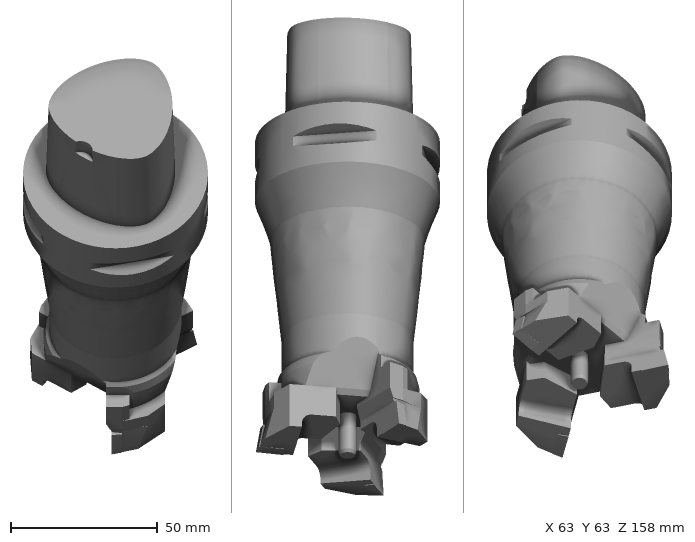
import cadquery as cq
import math


SHANK_HEIGHT = 38.0
SHANK_BASE_RADIUS = 22.0
SHANK_TOP_RADIUS = 21.1
LOBE_RISE = 1.7
LOBES = 3
LOBE_HALF_ANGLE = math.radians(38.5)
CURVE_STEPS = 6
LOBE_ANGLE = math.pi / 2
NOTCH_RADIUS = 4.2
NOTCH_DEPTH = 6.3
NOTCH_CENTRE_Y = -21.7

FLANGE_RADIUS = 63.0 / 2
FLANGE_BOTTOM = -22.8
SHOULDER_RADIUS = 26.45
SHOULDER_BOTTOM = -37.4
SHOULDER_SAG = 0.25
NECK_RADIUS = 45.0 / 2
NECK_TOP = -76.0
NECK_BULGE = 0.15
NECK_BOTTOM = -90.0
COLLAR_TOP_RADIUS = 23.8
COLLAR_TOP = -91.2
COLLAR_RADIUS = 24.6
COLLAR_WIDEST = -94.5
CORE_RADIUS = 24.2
CORE_BOTTOM = -104.0

SLOT_Z = -12.0
SLOT_FLOOR_DISTANCE = 28.0
SLOT_FLOOR_WIDTH = 3.6
SLOT_SIDE_ANGLE = 30.0
SLOT_LENGTH = 40.0
SLOT_ANGLES = (45, 135, 225, 315)

TOOTH_ANGLES = (63.5, 180, 303)
LEADING_Y = -3.1
FACE_Y = -1.2
INSERT_BACK_Y = 2.4
TRAILING_Y = 17.0
TRAILING_CORNER = (22.9, TRAILING_Y)
ROOT_TRAILING = (6.9, TRAILING_Y)
ROOT_MIDDLE = (4.5, 11.2)
ROOT_LEADING_X = 9.75
TOOTH_FACE_X = 28.8
TOOTH_SIDE_X = 27.2
TOOTH_LEDGE = -108.9
SEAT_TOP_X = 28.4
SEAT_TOP_SIDE_X = 27.4
SEAT_BOTTOM_X = 30.8
SEAT_BOTTOM_SIDE_X = 29.9
TRAILING_BEVEL_SLOPE = 1.34
TOOTH_BOTTOM_LEADING = -119.7
TOOTH_BOTTOM_TRAILING = -117.9
TOOTH_TOP_TRAILING = -102.0
TOOTH_TOP_BLOCK = -103.9
STEP_TOP = -105.5
STEP_BOTTOM = -110.1
CAVITY_X = 18.6
CAVITY_ROOF = -113.0
CAVITY_RADIUS = 3.4

FLAT_X = 23.7
FLAT_HALF_WIDTH = 8.0
BLOCK_ROOT_X = FLAT_X - 1.0
BLOCK_TOP = -95.8
BLOCK_END = (27.9, 5.0)

FLUTE_SLOPE = 0.32
FLUTE_BEVEL = 1.2

INSERT_CORNERS = ((20.2, -110.4), (29.9, -110.4), (31.45, -119.7), (22.0, -120.0))
INSERT_RELIEF = 7.0
SCREW_X = 25.8
SCREW_Z = -115.3
SCREW_HEAD_RADIUS = 6.01 / 2
SCREW_SHANK_RADIUS = 4.4 / 2
SCREW_HEAD_HEIGHT = 1.2
SCREW_LENGTH = 8.0

PIN_RADIUS = 6.01 / 2
PIN_BOTTOM = -118.9
PIN_CHAMFER_HEIGHT = 1.2
PIN_CHAMFER_WIDTH = 0.5

FAR = 60.0


def around(shape, angle):
    """Turn a shape about the tool axis."""
    return shape.rotate((0, 0, 0), (0, 0, 1), angle)


def polygon_point(mean_radius, angle):
    """Point on the three-lobed curve of constant width where its outward normal has the given angle."""
    phase = LOBES * (angle - LOBE_ANGLE)
    support = mean_radius + LOBE_RISE * math.cos(phase)
    slope = -LOBES * LOBE_RISE * math.sin(phase)
    return cq.Vector(
        support * math.cos(angle) - slope * math.sin(angle),
        support * math.sin(angle) + slope * math.cos(angle),
    )


def polygon_edge(mean_radius, start, end):
    """Smooth stretch of the lobed curve between two normal angles."""
    step = (end - start) / CURVE_STEPS
    angles = [start + step * index for index in range(CURVE_STEPS + 1)]
    points = [polygon_point(mean_radius, angle) for angle in angles]
    tangents = [cq.Vector(-math.sin(angle), math.cos(angle)) for angle in (start, end)]
    return cq.Edge.makeSpline(points, tangents=tangents)


def polygon_wire(mean_radius, height):
    """Closed lobed outline: a lobe stretch and a flank stretch in turn."""
    pitch = 2 * math.pi / LOBES
    edges = []
    for lobe in range(LOBES):
        centre = LOBE_ANGLE + lobe * pitch
        lobe_start = centre - LOBE_HALF_ANGLE
        lobe_end = centre + LOBE_HALF_ANGLE
        edges.append(polygon_edge(mean_radius, lobe_start, lobe_end))
        edges.append(polygon_edge(mean_radius, lobe_end, lobe_start + pitch))
    return cq.Wire.assembleEdges(edges).translate(cq.Vector(0, 0, height))


def make_shank():
    base = polygon_wire(SHANK_BASE_RADIUS, 0)
    top = polygon_wire(SHANK_TOP_RADIUS, SHANK_HEIGHT)
    shank = cq.Workplane(cq.Solid.makeLoft([base, top], True))
    notch = (
        cq.Workplane("XY", origin=(0, NOTCH_CENTRE_Y, SHANK_HEIGHT - NOTCH_DEPTH))
        .circle(NOTCH_RADIUS)
        .extrude(NOTCH_DEPTH)
    )
    return shank.cut(notch)


def make_turned_body():
    shoulder_middle = (
        (FLANGE_RADIUS + SHOULDER_RADIUS) / 2 - SHOULDER_SAG,
        (FLANGE_BOTTOM + SHOULDER_BOTTOM) / 2,
    )
    neck_middle = (
        (SHOULDER_RADIUS + NECK_RADIUS) / 2 + NECK_BULGE,
        (SHOULDER_BOTTOM + NECK_TOP) / 2,
    )
    return (
        cq.Workplane("XZ")
        .moveTo(0, 0)
        .lineTo(FLANGE_RADIUS, 0)
        .lineTo(FLANGE_RADIUS, FLANGE_BOTTOM)
        .threePointArc(shoulder_middle, (SHOULDER_RADIUS, SHOULDER_BOTTOM))
        .threePointArc(neck_middle, (NECK_RADIUS, NECK_TOP))
        .lineTo(NECK_RADIUS, NECK_BOTTOM)
        .lineTo(COLLAR_TOP_RADIUS, COLLAR_TOP)
        .lineTo(COLLAR_RADIUS, COLLAR_WIDEST)
        .lineTo(CORE_RADIUS, CORE_BOTTOM)
        .lineTo(0, CORE_BOTTOM)
        .close()
        .revolve(360, (0, 0, 0), (0, 1, 0))
    )


def make_gripper_slot():
    """Flat-bottomed slot with flared sides, cut into the +X side of the flange."""
    depth = FLANGE_RADIUS - SLOT_FLOOR_DISTANCE
    half_floor = SLOT_FLOOR_WIDTH / 2
    half_mouth = half_floor + depth * math.tan(math.radians(SLOT_SIDE_ANGLE))
    return (
        cq.Workplane("XZ", origin=(0, SLOT_LENGTH / 2, SLOT_Z))
        .polyline([
            (SLOT_FLOOR_DISTANCE, -half_floor),
            (FLANGE_RADIUS, -half_mouth),
            (FLANGE_RADIUS, half_mouth),
            (SLOT_FLOOR_DISTANCE, half_floor),
        ])
        .close()
        .extrude(SLOT_LENGTH)
    )


def make_flute(angle, next_angle):
    """Chip space between the trailing side of one tooth and the leading wall of the next.

    The bevel runs on to twice its depth, so that it cuts clear through the core underside.
    """
    rise = NECK_TOP - TOOTH_TOP_TRAILING
    drop = TOOTH_TOP_TRAILING - CORE_BOTTOM
    beyond = (
        cq.Workplane("YZ", origin=(-FAR, 0, 0))
        .polyline([
            (TRAILING_Y, TOOTH_TOP_TRAILING),
            (TRAILING_Y + FLUTE_SLOPE * rise, NECK_TOP),
            (FAR, NECK_TOP),
            (FAR, CORE_BOTTOM - drop),
            (TRAILING_Y - 2 * FLUTE_BEVEL, CORE_BOTTOM - drop),
        ])
        .close()
        .extrude(2 * FAR)
    )
    ahead = cq.Workplane("XY").box(
        2 * FAR, FAR + LEADING_Y, 2 * FAR, centered=(True, False, False)
    ).translate((0, -FAR, NECK_TOP - 2 * FAR))
    return around(beyond, angle).intersect(around(ahead, next_angle))


def make_collar_flat():
    """Flat on the collar above the tooth, from the leading wall to past the block."""
    height = COLLAR_TOP - CORE_BOTTOM
    return (
        cq.Workplane("XY")
        .box(FAR, 2 * FLAT_HALF_WIDTH, height, centered=(False, True, False))
        .translate((FLAT_X, 0, CORE_BOTTOM))
    )


def make_block():
    """Block that stands above the leading side of the tooth, against the collar flat."""
    return (
        cq.Workplane("XY", origin=(0, 0, TOOTH_TOP_BLOCK))
        .polyline([
            (BLOCK_ROOT_X, LEADING_Y),
            (TOOTH_FACE_X, LEADING_Y),
            (TOOTH_FACE_X, INSERT_BACK_Y),
            BLOCK_END,
            (BLOCK_ROOT_X, BLOCK_END[1]),
        ])
        .close()
        .extrude(BLOCK_TOP - TOOTH_TOP_BLOCK)
    )


def tooth_outline(face_x, side_x):
    """Plan outline of a tooth for a given outer face and bevel edge."""
    corner_x, corner_y = TRAILING_CORNER
    side_y = corner_y - TRAILING_BEVEL_SLOPE * (side_x - corner_x)
    return [
        (ROOT_LEADING_X, LEADING_Y),
        (face_x, LEADING_Y),
        (face_x, INSERT_BACK_Y),
        (side_x, side_y),
        TRAILING_CORNER,
        ROOT_TRAILING,
        ROOT_MIDDLE,
    ]


def make_tooth():
    upper = (
        cq.Workplane("XY", origin=(0, 0, TOOTH_LEDGE))
        .polyline(tooth_outline(TOOTH_FACE_X, TOOTH_SIDE_X))
        .close()
        .extrude(TOOTH_TOP_TRAILING - TOOTH_LEDGE)
    )
    lower = (
        cq.Workplane("XY", origin=(0, 0, TOOTH_LEDGE))
        .polyline(tooth_outline(SEAT_TOP_X, SEAT_TOP_SIDE_X))
        .close()
        .workplane(offset=TOOTH_BOTTOM_LEADING - TOOTH_LEDGE)
        .polyline(tooth_outline(SEAT_BOTTOM_X, SEAT_BOTTOM_SIDE_X))
        .close()
        .loft(ruled=True)
    )
    side_limits = (
        cq.Workplane("YZ")
        .polyline([
            (TRAILING_Y, TOOTH_TOP_TRAILING),
            (TRAILING_Y, TOOTH_BOTTOM_TRAILING),
            (FACE_Y, TOOTH_BOTTOM_LEADING),
            (FACE_Y, STEP_BOTTOM),
            (LEADING_Y, STEP_TOP),
            (LEADING_Y, TOOTH_TOP_BLOCK),
            (BLOCK_END[1], TOOTH_TOP_BLOCK),
        ])
        .close()
        .extrude(FAR)
    )
    return upper.union(lower).intersect(side_limits).cut(make_cavity())


def make_cavity():
    """Hollow under the inner half of the tooth, open on its leading and trailing sides."""
    return (
        cq.Workplane("XZ", origin=(0, FAR, 0))
        .moveTo(0, CAVITY_ROOF)
        .lineTo(CAVITY_X - CAVITY_RADIUS, CAVITY_ROOF)
        .radiusArc((CAVITY_X, CAVITY_ROOF - CAVITY_RADIUS), CAVITY_RADIUS)
        .lineTo(CAVITY_X, -2 * FAR)
        .lineTo(0, -2 * FAR)
        .close()
        .extrude(2 * FAR)
    )


def make_insert_blank():
    """Insert without its hole: a leaning four-sided plate that narrows away from the cutting face."""
    return (
        cq.Workplane("XZ", origin=(0, FACE_Y, 0))
        .polyline(INSERT_CORNERS)
        .close()
        .extrude(FACE_Y - INSERT_BACK_Y, taper=INSERT_RELIEF)
    )


def make_screw():
    """Countersunk screw, its head flush with the cutting face."""
    return (
        cq.Workplane("XY")
        .polyline([
            (0, 0),
            (SCREW_HEAD_RADIUS, 0),
            (SCREW_SHANK_RADIUS, SCREW_HEAD_HEIGHT),
            (SCREW_SHANK_RADIUS, SCREW_LENGTH),
            (0, SCREW_LENGTH),
        ])
        .close()
        .revolve(360, (0, 0, 0), (0, 1, 0))
        .translate((SCREW_X, FACE_Y, SCREW_Z))
    )


def make_centre_pin():
    return (
        cq.Workplane("XZ")
        .polyline([
            (0, CORE_BOTTOM),
            (PIN_RADIUS, CORE_BOTTOM),
            (PIN_RADIUS, PIN_BOTTOM + PIN_CHAMFER_HEIGHT),
            (PIN_RADIUS - PIN_CHAMFER_WIDTH, PIN_BOTTOM),
            (0, PIN_BOTTOM),
        ])
        .close()
        .revolve(360, (0, 0, 0), (0, 1, 0))
    )


insert_blank = make_insert_blank()
screw = make_screw()
insert = insert_blank.cut(screw)

cutter_body = make_turned_body()
for slot_angle in SLOT_ANGLES:
    cutter_body = cutter_body.cut(around(make_gripper_slot(), slot_angle))
for tooth_angle in TOOTH_ANGLES:
    cutter_body = cutter_body.cut(around(make_collar_flat(), tooth_angle))
for index, tooth_angle in enumerate(TOOTH_ANGLES):
    following_angle = TOOTH_ANGLES[(index + 1) % len(TOOTH_ANGLES)]
    cutter_body = cutter_body.cut(make_flute(tooth_angle, following_angle))
tooth = make_tooth().union(make_block()).cut(insert_blank).cut(screw)
for tooth_angle in TOOTH_ANGLES:
    cutter_body = cutter_body.union(around(tooth, tooth_angle))
cutter_body = cutter_body.union(make_centre_pin()).union(make_shank())

inserts = [around(insert, tooth_angle) for tooth_angle in TOOTH_ANGLES]
screws = [around(screw, tooth_angle) for tooth_angle in TOOTH_ANGLES]

result = cq.Compound.makeCompound(
    [cutter_body.solids().val(), *[item.val() for item in inserts], *[item.val() for item in screws]]
)